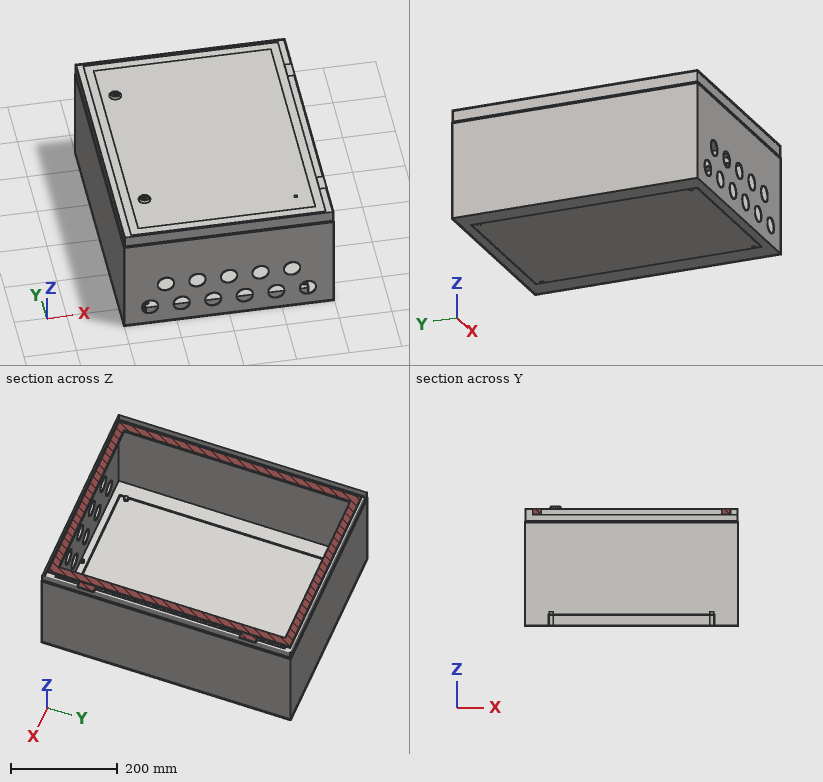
import cadquery as cq


SHEET = 1.5
BOX_X = 400.0
BOX_Y = 500.0
BOX_Z = 195.0
RIM_WIDTH = 20.0

ENTRY_DIAMETER = 31.0
ENTRY_PITCH = 60.0
ENTRY_ROWS = [(40.0, 6), (92.0, 5)]

DOOR_MARGIN = 1.0
DOOR_X = BOX_X - 2 * DOOR_MARGIN
DOOR_Y = BOX_Y - 2 * DOOR_MARGIN
DOOR_GAP = 2.0
DOOR_BOTTOM = BOX_Z + DOOR_GAP
DOOR_TOP = 220.0
DOOR_UNDERSIDE = DOOR_TOP - SHEET

SEAL_X = 370.0
SEAL_Y = 486.0
SEAL_WIDTH = 16.5
SEAL_THICKNESS = 10.0

HINGE_LENGTH = 33.0
HINGE_THICKNESS = 10.0
HINGE_Y = 162.0
HINGE_CLEARANCE = 0.5

EARTH_STUD_DIAMETER = 6.0
EARTH_STUD_LENGTH = 12.0
EARTH_STUD_X = 138.0
EARTH_STUD_Y = -191.0

LOCK_X = -142.0
LOCK_Y = 149.0
LOCK_DIAMETER = 22.5
LOCK_RECESS_DIAMETER = 16.0
LOCK_TOP = 224.0
LOCK_HEIGHT = LOCK_TOP - DOOR_TOP
KEY_HEIGHT = 7.0
KEY_CIRCLE = KEY_HEIGHT * 4 / 3

PLATE_X = 311.0
PLATE_Y = 460.0
PLATE_TOP = 22.0

STUD_DIAMETER = 8.0
STUD_TOP = 27.0
STUD_X = 150.0
STUD_INSET = 15.0
STUD_Y = PLATE_Y / 2 - STUD_INSET


def block(size_x, size_y, bottom, top):
    """Block centred on the Z axis between two heights."""
    return cq.Workplane("XY").workplane(offset=bottom).rect(size_x, size_y).extrude(top - bottom)


def plate_stud_shafts(bottom, top):
    """Four upright shafts at the fixing points of the mounting plate."""
    return (
        cq.Workplane("XY")
        .workplane(offset=bottom)
        .rect(2 * STUD_X, 2 * STUD_Y, forConstruction=True)
        .vertices()
        .circle(STUD_DIAMETER / 2)
        .extrude(top - bottom)
    )


def cable_entries():
    """Cutters for the staggered rows of cable entries."""
    points = []
    for height, count in ENTRY_ROWS:
        for i in range(count):
            points.append(((i - (count - 1) / 2) * ENTRY_PITCH, height))
    return (
        cq.Workplane("XZ", origin=(0, -BOX_Y / 2 + 2 * SHEET, 0))
        .pushPoints(points)
        .circle(ENTRY_DIAMETER / 2)
        .extrude(4 * SHEET)
    )


def make_box():
    outside = block(BOX_X, BOX_Y, 0, BOX_Z)
    cavity = block(BOX_X - 2 * SHEET, BOX_Y - 2 * SHEET, SHEET, BOX_Z - SHEET)
    opening = block(BOX_X - 2 * RIM_WIDTH, BOX_Y - 2 * RIM_WIDTH, BOX_Z - SHEET, BOX_Z)
    shell = outside.cut(cavity).cut(opening).cut(cable_entries())
    return shell.union(plate_stud_shafts(SHEET, STUD_TOP))


def seal():
    """Rectangular seal strip against the underside of the door."""
    bottom = DOOR_UNDERSIDE - SEAL_THICKNESS
    strip = block(SEAL_X, SEAL_Y, bottom, DOOR_UNDERSIDE)
    inside = block(SEAL_X - 2 * SEAL_WIDTH, SEAL_Y - 2 * SEAL_WIDTH, bottom, DOOR_UNDERSIDE)
    return strip.cut(inside)


def hinges():
    """Hinge blocks that sit between the seal and the door's +X side."""
    inner = SEAL_X / 2 + HINGE_CLEARANCE
    outer = DOOR_X / 2 - SHEET
    return (
        cq.Workplane("XY")
        .workplane(offset=DOOR_UNDERSIDE - HINGE_THICKNESS)
        .pushPoints([((inner + outer) / 2, side * HINGE_Y) for side in (-1, 1)])
        .rect(outer - inner, HINGE_LENGTH)
        .extrude(HINGE_THICKNESS)
    )


def earth_stud():
    return (
        cq.Workplane("XY", origin=(EARTH_STUD_X, EARTH_STUD_Y, DOOR_UNDERSIDE))
        .circle(EARTH_STUD_DIAMETER / 2)
        .extrude(-EARTH_STUD_LENGTH)
    )


def lock(side):
    """Conical lock ring around a triangular key post that points away from the middle of the door."""
    cone = (
        cq.Workplane("XY")
        .circle(LOCK_DIAMETER / 2)
        .workplane(offset=LOCK_HEIGHT)
        .circle(LOCK_RECESS_DIAMETER / 2)
        .loft(ruled=True)
    )
    recess = cq.Workplane("XY").circle(LOCK_RECESS_DIAMETER / 2).extrude(LOCK_HEIGHT)
    key_post = (
        cq.Workplane("XY")
        .polygon(3, KEY_CIRCLE)
        .extrude(LOCK_HEIGHT)
        .rotate((0, 0, 0), (0, 0, 1), side * 90)
    )
    return cone.cut(recess).union(key_post).translate((LOCK_X, side * LOCK_Y, DOOR_TOP))


def make_door():
    outside = block(DOOR_X, DOOR_Y, DOOR_BOTTOM, DOOR_TOP)
    cavity = block(DOOR_X - 2 * SHEET, DOOR_Y - 2 * SHEET, DOOR_BOTTOM, DOOR_UNDERSIDE)
    door = outside.cut(cavity).union(seal()).union(hinges()).union(earth_stud())
    for side in (-1, 1):
        door = door.union(lock(side))
    return door


def make_mounting_plate():
    outside = block(PLATE_X, PLATE_Y, SHEET, PLATE_TOP)
    hollow = block(PLATE_X - 2 * SHEET, PLATE_Y - 2 * SHEET, SHEET, PLATE_TOP - SHEET)
    return outside.cut(hollow).cut(plate_stud_shafts(SHEET, STUD_TOP))


box = make_box()
door = make_door()
mounting_plate = make_mounting_plate()

result = cq.Compound.makeCompound([box.val(), door.val(), mounting_plate.val()])